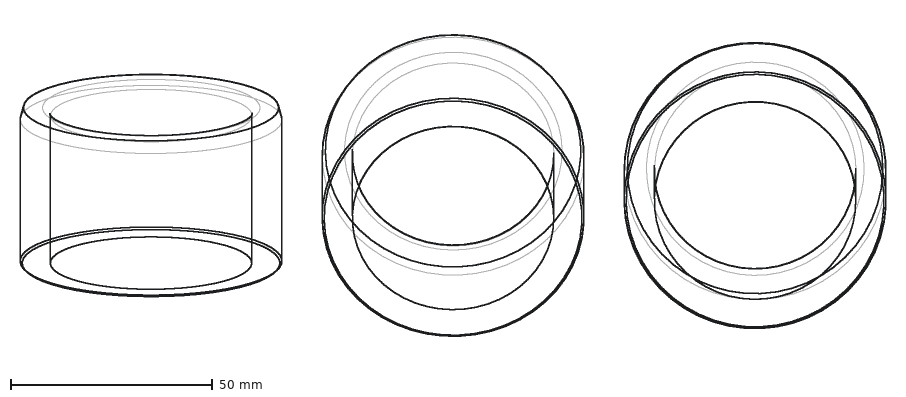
import cadquery as cq
import math

outer_diameter = 65.0
bore_diameter = 50.0
height = 40.0
lead_in_height = 3.0
lead_in_angle = 15.0
bore_rounding = 2.0
bottom_chamfer = 0.5

outer_radius = outer_diameter / 2
top_radius = outer_radius - lead_in_height * math.tan(math.radians(lead_in_angle))


def make_body():
    """Cylinder with a tapered lead-in at the top and a chamfered bottom edge."""
    profile = (
        cq.Workplane("XZ")
        .moveTo(0, 0)
        .lineTo(outer_radius, 0)
        .lineTo(outer_radius, height - lead_in_height)
        .lineTo(top_radius, height)
        .lineTo(0, height)
        .close()
    )
    body = profile.revolve(360, (0, 0, 0), (0, 1, 0))
    return body.faces("<Z").edges().chamfer(bottom_chamfer)


def cut_bore(body):
    """Through bore with a rounded mouth at the top."""
    bored = body.faces(">Z").workplane().hole(bore_diameter)
    mouth = bored.faces(">Z").edges(cq.selectors.RadiusNthSelector(0))
    return mouth.fillet(bore_rounding)


result = cut_bore(make_body())